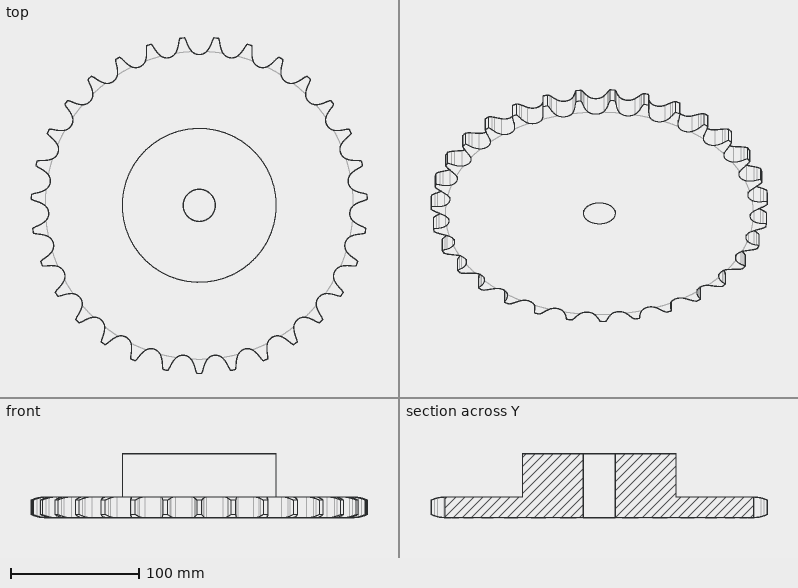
import cadquery as cq
import math

tooth_count = 31
chain_pitch = 25.5
roller_diameter = 16.0
outer_diameter = 262.0

plate_thickness = 16.2
total_height = 50.0
hub_diameter = 120.0
bore_diameter = 25.0

flat_face_diameter = 239.8
tip_thickness = 11.3

SEATING_RADIUS_RATIO = 0.5025
WORKING_OFFSET_RATIO = 0.8
TOPPING_OFFSET_RATIO = 1.4

half_pitch_angle = math.pi / tooth_count
pitch_radius = chain_pitch / (2 * math.sin(half_pitch_angle))
outer_radius = outer_diameter / 2

tip_clearance = 1.3


def polar(center, radius, angle):
    """Point at a radius and an angle (radians) from a center point."""
    return (center[0] + radius * math.cos(angle), center[1] + radius * math.sin(angle))


def tooth_gap():
    """Cutter for the gap between two teeth, centered on the +Y axis."""
    roller_center = (0, pitch_radius)
    seating_radius = SEATING_RADIUS_RATIO * roller_diameter
    working_offset = WORKING_OFFSET_RATIO * roller_diameter
    topping_offset = TOPPING_OFFSET_RATIO * roller_diameter
    seating_angle = math.radians(35 + 60 / tooth_count)
    working_angle = math.radians(18 - 56 / tooth_count)
    topping_angle = math.radians(17 - 64 / tooth_count)

    working_center = polar(roller_center, working_offset, seating_angle)
    working_radius = working_offset + seating_radius
    flank_angle = seating_angle - working_angle
    seat_end = polar(roller_center, seating_radius, math.pi + seating_angle)
    working_middle = polar(working_center, working_radius, math.pi + seating_angle - working_angle / 2)
    working_end = polar(working_center, working_radius, math.pi + flank_angle)

    straight_length = topping_offset * math.sin(topping_angle) - working_offset * math.sin(working_angle)
    straight_end = polar(working_end, straight_length, math.pi / 2 + flank_angle)
    topping_center = polar(roller_center, topping_offset, math.pi + half_pitch_angle)
    topping_radius = math.dist(topping_center, straight_end)

    topping_start = math.atan2(straight_end[1] - topping_center[1], straight_end[0] - topping_center[0])
    clear_height = outer_radius + tip_clearance
    topping_stop = math.asin((clear_height - topping_center[1]) / topping_radius)
    topping_middle = polar(topping_center, topping_radius, (topping_start + topping_stop) / 2)
    topping_end = polar(topping_center, topping_radius, topping_stop)

    def mirrored(point):
        return (-point[0], point[1])

    seat_bottom = (0, pitch_radius - seating_radius)
    return (
        cq.Workplane("XY")
        .moveTo(*topping_end)
        .threePointArc(topping_middle, straight_end)
        .lineTo(*working_end)
        .threePointArc(working_middle, seat_end)
        .threePointArc(seat_bottom, mirrored(seat_end))
        .threePointArc(mirrored(working_middle), mirrored(working_end))
        .lineTo(*mirrored(straight_end))
        .threePointArc(mirrored(topping_middle), mirrored(topping_end))
        .close()
        .extrude(plate_thickness)
    )


def plate_blank():
    """Toothless plate whose rim is rounded by an arc tangent to each flat face."""
    flat_radius = flat_face_diameter / 2
    rim_width = outer_radius - flat_radius
    rim_drop = (plate_thickness - tip_thickness) / 2
    rounding_radius = (rim_width**2 + rim_drop**2) / (2 * rim_drop)
    half_sweep = math.asin(rim_width / rounding_radius) / 2
    middle_radius = flat_radius + rounding_radius * math.sin(half_sweep)
    middle_drop = rounding_radius * (1 - math.cos(half_sweep))
    return (
        cq.Workplane("XZ")
        .lineTo(flat_radius, 0)
        .threePointArc((middle_radius, middle_drop), (outer_radius, rim_drop))
        .lineTo(outer_radius, plate_thickness - rim_drop)
        .threePointArc((middle_radius, plate_thickness - middle_drop), (flat_radius, plate_thickness))
        .lineTo(0, plate_thickness)
        .close()
        .revolve(360, (0, 0, 0), (0, 1, 0))
    )


wheel = plate_blank()
gap = tooth_gap()
for index in range(tooth_count):
    wheel = wheel.cut(gap.rotate((0, 0, 0), (0, 0, 1), index * 360 / tooth_count))

hub = cq.Workplane("XY").circle(hub_diameter / 2).extrude(total_height)
bore = cq.Workplane("XY").circle(bore_diameter / 2).extrude(total_height)
result = wheel.union(hub).cut(bore)